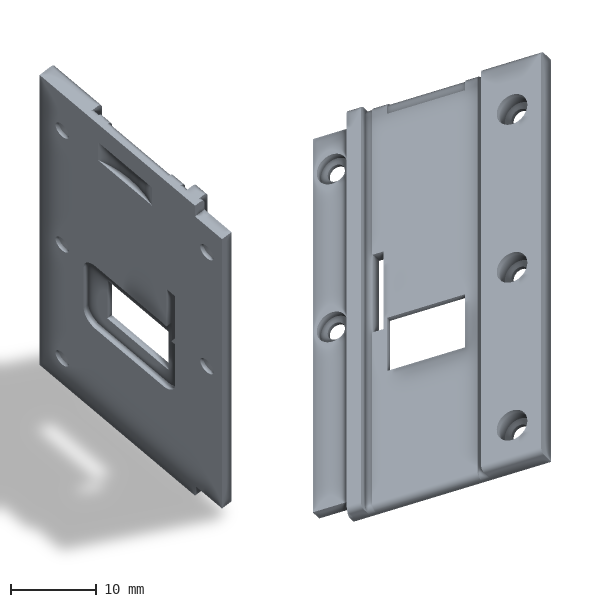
import cadquery as cq

width = 30.9
height = 55.8
thick = 2.45
base = 1.5
thin = 1.3
edge_radius = 0.7

left_rail_end = 8.0
center_pad_start = 9.0
center_pad_end = 23.05
right_rail_start = 24.0
right_rail_end = 25.9

notch_x = 26.35
top_notch_height = 2.05
bottom_notch_height = 1.9

hole_diameter = 2.3
counterbore_diameter = 4.1
hole_land = 0.5
left_hole_x = 3.85
right_hole_x = 28.35
middle_hole_z = 26.85
hole_pitch = 21.95

window_x = (10.65, 21.05)
window_z = (18.4, 25.8)
recess_x = (7.5, 22.95)
recess_z = (15.95, 28.0)
recess_depth = 0.8
recess_corner_radius = 4.1 / 2

slot_width = 1.45
slot_z = (24.4, 35.15)

scoop_x = (9.9, 19.0)
scoop_z = (48.9, 52.35)
scoop_depth = 0.8

relief_length = 1.7


def block(x_range, z_range, depth):
    """Box that starts at the front face and reaches depth into +Y."""
    return cq.Workplane("XY").box(
        x_range[1] - x_range[0], depth, z_range[1] - z_range[0], centered=False
    ).translate((x_range[0], 0, z_range[0]))


def band(x_start, x_end, depth):
    """Full-height strip of the plate with its two back end edges rounded."""
    strip = block((x_start, x_end), (0, height), depth)
    return strip.faces(">Y").edges("|X").fillet(edge_radius)


def center_pad():
    pad = band(center_pad_start, center_pad_end, base)
    relief = block(window_x, (height - relief_length, height), base)
    thin_edge = band(*window_x, thin)
    return pad.cut(relief).union(thin_edge)


def scoop():
    x_start, x_end = scoop_x
    profile = (
        cq.Workplane("XY")
        .moveTo(x_start, 0)
        .threePointArc(((x_start + x_end) / 2, scoop_depth), (x_end, 0))
        .close()
    )
    return profile.extrude(scoop_z[1] - scoop_z[0]).translate((0, 0, scoop_z[0]))


def cylinder(x, z, diameter, y_start):
    """Cutter along Y from y_start to the back of the thickest rail."""
    profile = cq.Workplane("XZ", origin=(x, y_start, z)).circle(diameter / 2)
    return profile.extrude(y_start - thick)


def mounting_hole(x, z):
    through_hole = cylinder(x, z, hole_diameter, 0)
    counterbore = cylinder(x, z, counterbore_diameter, hole_land)
    return through_hole.union(counterbore)


result = band(0, left_rail_end, thick)
result = result.union(band(left_rail_end, center_pad_start, thin))
result = result.union(center_pad())
result = result.union(band(center_pad_end, right_rail_start, thin))
result = result.union(band(right_rail_start, right_rail_end, thick))
result = result.union(band(right_rail_end, width, base))

result = result.cut(block((notch_x, width), (height - top_notch_height, height), thick))
result = result.cut(block((notch_x, width), (0, bottom_notch_height), thick))

recess = block(recess_x, recess_z, recess_depth).edges("|Y").fillet(recess_corner_radius)
result = result.cut(recess)
result = result.cut(block(window_x, window_z, thick))
result = result.cut(block((recess_x[1] - slot_width, recess_x[1]), slot_z, thick))

result = result.cut(scoop())

top_hole_z = middle_hole_z + hole_pitch
bottom_hole_z = middle_hole_z - hole_pitch
for hole_z in (bottom_hole_z, middle_hole_z, top_hole_z):
    result = result.cut(mounting_hole(left_hole_x, hole_z))
for hole_z in (middle_hole_z, top_hole_z):
    result = result.cut(mounting_hole(right_hole_x, hole_z))